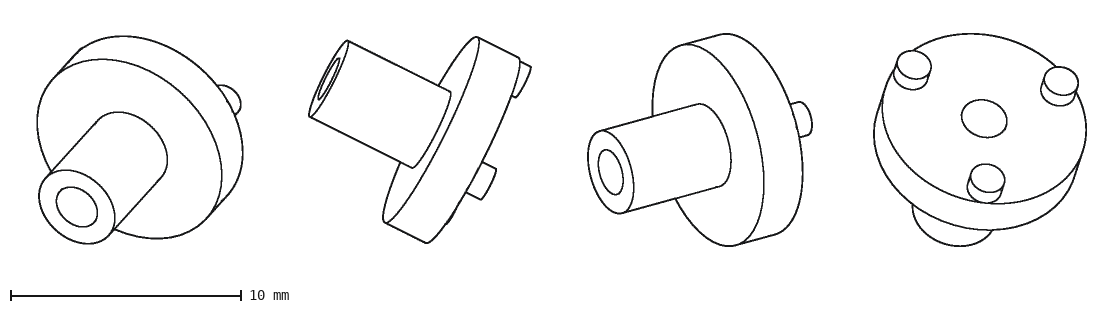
import cadquery as cq

flange_diameter = 9.0
flange_thickness = 2.0
tube_diameter = 3.7
tube_length = 5.0
bore_diameter = 2.0
pin_diameter = 1.5
pin_length = 0.8
pin_count = 3
first_pin_angle = 30.0

pin_circle_radius = (flange_diameter - pin_diameter) / 2


def cylinder_along_y(diameter, start_y, length):
    """Cylinder centred on the Y axis, running from start_y toward +Y."""
    base = cq.Plane(origin=(0, start_y, 0), xDir=(1, 0, 0), normal=(0, 1, 0))
    return cq.Workplane(base).circle(diameter / 2).extrude(length)


def locating_pins():
    """Equally spaced pins standing on the +Y face of the flange."""
    pins = cq.Workplane("XY")
    for index in range(pin_count):
        angle = first_pin_angle + index * 360 / pin_count
        pin = cylinder_along_y(pin_diameter, flange_thickness, pin_length)
        pin = pin.translate((pin_circle_radius, 0, 0))
        pins = pins.add(pin.rotate((0, 0, 0), (0, -1, 0), angle))
    return pins.combine()


flange = cylinder_along_y(flange_diameter, 0, flange_thickness)
tube = cylinder_along_y(tube_diameter, -tube_length, tube_length)
bore = cylinder_along_y(bore_diameter, -tube_length, tube_length + flange_thickness)

result = flange.union(tube).union(locating_pins()).cut(bore)